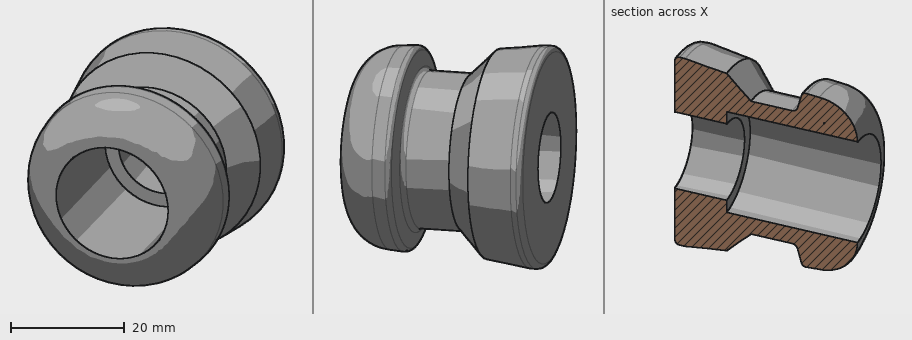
import cadquery as cq
import math

length = 35.0
base_radius = 39.45 / 2
base_edge_fillet = 1.0
base_rim_end = 2.0
base_taper_end = 9.98
base_taper_radius = 18.6
neck_radius = 13.95
neck_start = base_taper_end + base_taper_radius - neck_radius
head_start = 23.23
head_flank_angle = 15
head_radius = 18.3
head_fillet = 1.0
head_round_start = 27.6
head_round_radius = 18.05
bore_radius = 10.5
bore_depth = 25.0
through_hole_radius = 7.95

nose_length = length - head_round_start
nose_height = head_round_radius - bore_radius
nose_arc_radius = (nose_length**2 + nose_height**2) / (2 * nose_length)
nose_start_angle = math.asin((nose_arc_radius - nose_length) / nose_arc_radius)
nose_mid_angle = (-nose_start_angle + math.pi / 2) / 2
nose_mid = (
    bore_radius + nose_arc_radius * math.cos(nose_mid_angle),
    length - nose_arc_radius + nose_arc_radius * math.sin(nose_mid_angle),
)
head_flank_run = (head_radius - neck_radius) * math.tan(math.radians(head_flank_angle))
head_rim = head_start + head_flank_run


def ring_edges(body, radius, distance):
    """Select the circular edge of the given radius at a distance from the back."""
    tolerance = 0.05
    return body.edges(
        cq.selectors.BoxSelector(
            (-radius - tolerance, distance - tolerance, -radius - tolerance),
            (radius + tolerance, distance + tolerance, radius + tolerance),
            boundingbox=True,
        )
    ).edges("%CIRCLE")


body = (
    cq.Workplane("XY")
    .moveTo(0, 0)
    .lineTo(base_radius, 0)
    .lineTo(base_radius, base_rim_end)
    .lineTo(base_taper_radius, base_taper_end)
    .lineTo(neck_radius, neck_start)
    .lineTo(neck_radius, head_start)
    .lineTo(head_radius, head_rim)
    .lineTo(head_round_radius, head_round_start)
    .threePointArc(nose_mid, (bore_radius, length))
    .lineTo(0, length)
    .close()
    .revolve(360, (0, 0, 0), (0, 1, 0))
)

body = ring_edges(body, base_radius, 0).fillet(base_edge_fillet)
body = ring_edges(body, neck_radius, head_start).fillet(head_fillet)
body = ring_edges(body, head_radius, head_rim).fillet(head_fillet)

body = body.rotate((0, 0, 0), (0, 0, 1), 180).translate((0, length / 2, 0))

front = cq.Workplane("XZ", origin=(0, -length / 2, 0))
bore = front.circle(bore_radius).extrude(-bore_depth)
through_hole = front.circle(through_hole_radius).extrude(-length)
result = body.cut(bore).cut(through_hole)